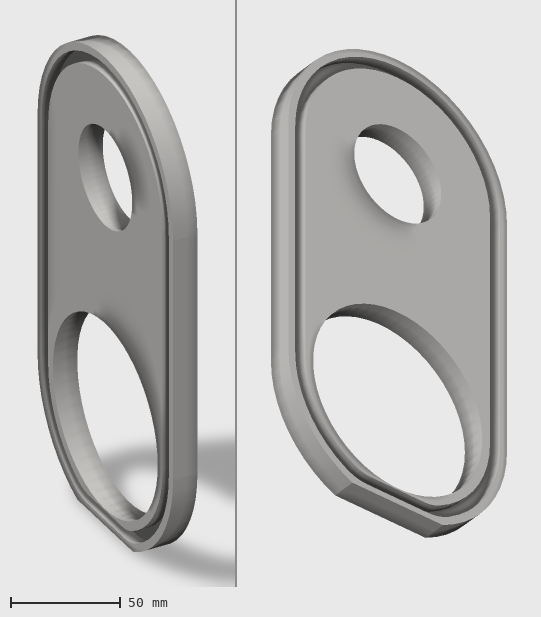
import cadquery as cq

height = 249.4
width = 128.0
thickness = 12.7
end_spacing = 127.2
small_hole_diameter = 50.9
large_hole_diameter = 99.0
rim_width = 4.0
flat_rim_width = 3.0
groove_width = 6.0
flat_groove_width = 5.0
groove_depth = 6.2
groove_corner_radius = 25.0

end_radius = width / 2
upper_z = height / 2 - end_radius
lower_z = upper_z - end_spacing
bottom_z = -height / 2
front_y = -thickness / 2


def rounded_plate(radius, flat_z, depth):
    """Plate with two round ends, the lower one cut flat, going back from the front face."""
    half_flat = (radius**2 - (lower_z - flat_z) ** 2) ** 0.5
    mid_x = radius + half_flat
    mid_z = flat_z - lower_z
    mid_scale = radius / (mid_x**2 + mid_z**2) ** 0.5
    arc_x = mid_x * mid_scale
    arc_z = lower_z + mid_z * mid_scale
    return (
        cq.Workplane("XZ", origin=(0, front_y, 0))
        .moveTo(-half_flat, flat_z)
        .lineTo(half_flat, flat_z)
        .threePointArc((arc_x, arc_z), (radius, lower_z))
        .lineTo(radius, upper_z)
        .threePointArc((0, upper_z + radius), (-radius, upper_z))
        .lineTo(-radius, lower_z)
        .threePointArc((-arc_x, arc_z), (-half_flat, flat_z))
        .close()
        .extrude(-depth)
    )


def round_flat_corners(body, radius):
    """Round the two corners where the bottom flat meets the lower arcs."""
    return body.faces("<Z").edges("|Y").fillet(radius)


def through_hole(diameter, z):
    """Cylinder through the whole plate along Y."""
    return (
        cq.Workplane("XZ", origin=(0, front_y, 0))
        .center(0, z)
        .circle(diameter / 2)
        .extrude(-thickness)
    )


plate = rounded_plate(end_radius, bottom_z, thickness)

groove_outer_radius = end_radius - rim_width
groove_outer_flat_z = bottom_z + flat_rim_width
groove_inner_radius = groove_outer_radius - groove_width
groove_inner_flat_z = groove_outer_flat_z + flat_groove_width
groove_outer = round_flat_corners(
    rounded_plate(groove_outer_radius, groove_outer_flat_z, groove_depth),
    groove_corner_radius,
)
groove_inner = round_flat_corners(
    rounded_plate(groove_inner_radius, groove_inner_flat_z, groove_depth),
    groove_corner_radius - groove_width,
)
plate = plate.cut(groove_outer.cut(groove_inner))

for diameter, z in ((small_hole_diameter, upper_z), (large_hole_diameter, lower_z)):
    plate = plate.cut(through_hole(diameter, z))

result = plate